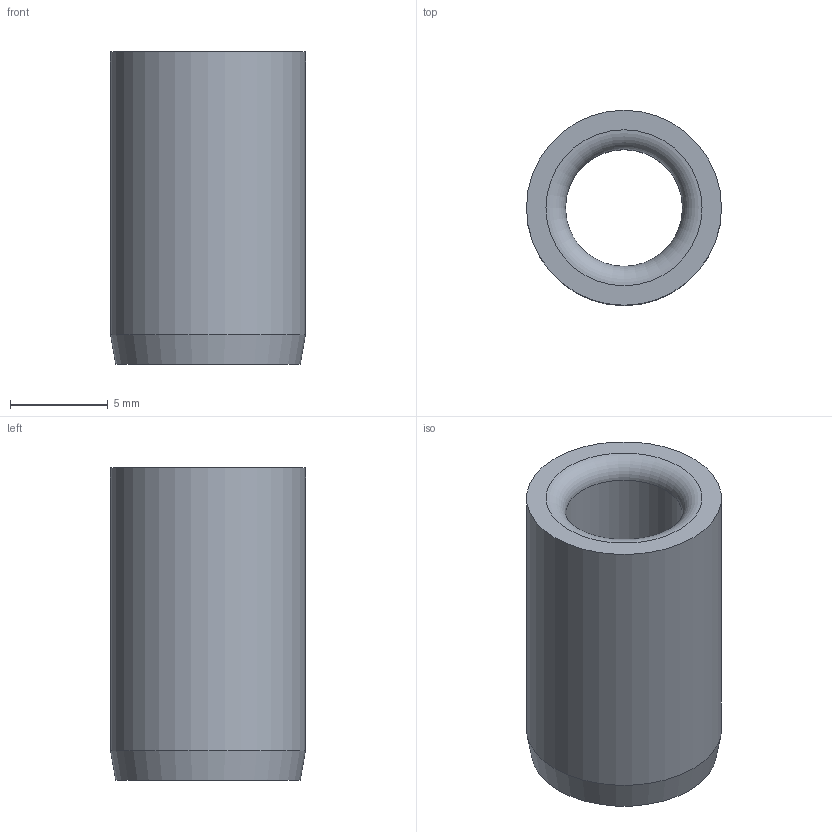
import cadquery as cq
import math

OUTER_DIAMETER = 10.0
BORE_DIAMETER = 6.0
LENGTH = 16.0
ENTRY_RADIUS = 1.0
TAPER_HEIGHT = 1.5
TAPER_ANGLE = 10.0

outer_radius = OUTER_DIAMETER / 2
bore_radius = BORE_DIAMETER / 2
nose_radius = outer_radius - TAPER_HEIGHT * math.tan(math.radians(TAPER_ANGLE))
bottom = 0.0
top = bottom + LENGTH


def bushing():
    """Revolve the wall section around the Z axis."""
    arc_offset = ENTRY_RADIUS * math.sqrt(0.5)
    arc_center_x = bore_radius + ENTRY_RADIUS
    arc_center_z = top - ENTRY_RADIUS
    section = (
        cq.Workplane("XZ")
        .moveTo(bore_radius, bottom)
        .lineTo(nose_radius, bottom)
        .lineTo(outer_radius, bottom + TAPER_HEIGHT)
        .lineTo(outer_radius, top)
        .lineTo(arc_center_x, top)
        .threePointArc(
            (arc_center_x - arc_offset, arc_center_z + arc_offset),
            (bore_radius, arc_center_z),
        )
        .close()
    )
    return section.revolve(360, (0, 0, 0), (0, 1, 0))


result = bushing()